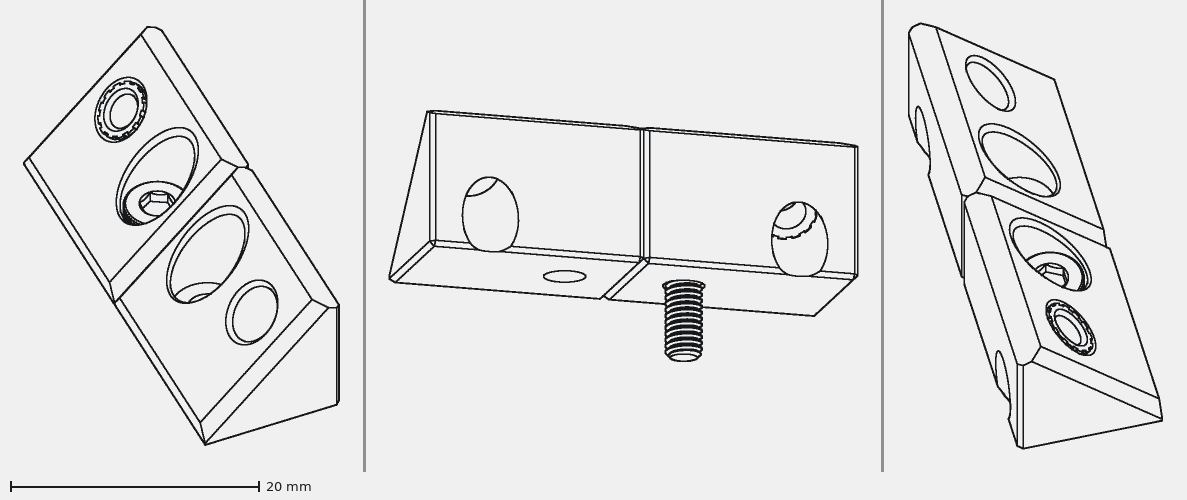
import cadquery as cq
import math

block_width = 18.0
block_depth = 12.0
toe_height = 2.0
apex_cut = 3.0
slope_side_chamfer = 1.0
edge_chamfer = 0.4

front_y = -block_depth / 2
back_y = block_depth / 2
corner_height = toe_height + block_depth
apex_drop = apex_cut * math.sin(math.radians(45))
apex_y = back_y - apex_drop
apex_z = corner_height - apex_drop

counterbore_diameter = 6.0
counterbore_floor = toe_height
clearance_diameter = 3.4
insert_hole_diameter = 4.7
screw_offset = 5.0
insert_side_distance = 5.0
insert_apex_distance = 5.0

insert_offset = block_width - insert_side_distance
insert_drop = insert_apex_distance * math.sin(math.radians(45))
insert_y = apex_y - insert_drop
insert_z = apex_z - insert_drop
cut_length = 2 * block_depth

head_diameter = 5.5
head_height = 3.0
head_chamfer = 0.18
head_groove_count = 60
head_groove_depth = 0.07
socket_width = 2.5
socket_depth = 1.0
socket_countersink = 2.9
shank_length = 8.03
thread_diameter = 3.0
thread_core = 2.35
thread_pitch = 0.5
thread_crest = 0.07
thread_flank_angle = math.radians(30)
thread_sink = 0.05
tip_chamfer = 0.4

insert_length = 3.3
insert_diameter = 4.85
knurl_root = 4.5
knurl_count = 13
knurl_notch_width = 0.45
insert_bore = 2.9
insert_bore_chamfer = 0.35


SLOPE = ">(0, -1, 1)"


def slope_plane(x):
    """Plane on the sloping face at an insert position, with its normal pointing out."""
    return cq.Plane(origin=(x, insert_y, insert_z), xDir=(1, 0, 0), normal=(0, -1, 1))


def make_wedge(center_x):
    """Wedge with its side, bottom and back edges chamfered, before drilling."""
    wedge = (
        cq.Workplane("YZ")
        .polyline([
            (front_y, 0),
            (back_y, 0),
            (back_y, corner_height - apex_cut),
            (apex_y, apex_z),
            (front_y, toe_height),
        ])
        .close()
        .extrude(block_width / 2, both=True)
    )
    wedge = wedge.faces(SLOPE).edges("#X").chamfer(slope_side_chamfer)
    wedge = wedge.faces("<Z or >Y").edges("<Z or |Z").chamfer(edge_chamfer)
    return wedge.translate((center_x, 0, 0))


def make_block(side):
    """Drilled block; side is -1 for the left block and +1 for its mirror image."""
    block = make_wedge(side * block_width / 2)
    screw_x = side * screw_offset
    insert_plane = slope_plane(side * insert_offset)

    counterbore = (
        cq.Workplane("XY", origin=(screw_x, 0, counterbore_floor))
        .circle(counterbore_diameter / 2)
        .extrude(cut_length)
    )
    insert_hole = (
        cq.Workplane(insert_plane)
        .circle(insert_hole_diameter / 2)
        .extrude(cut_length, both=True)
    )
    block = block.cut(counterbore).cut(insert_hole)

    block = block.faces(SLOPE).edges("not %LINE").chamfer(edge_chamfer)

    clearance = (
        cq.Workplane("XY", origin=(screw_x, 0, 0))
        .circle(clearance_diameter / 2)
        .extrude(counterbore_floor)
    )
    return block.cut(clearance)


def make_thread():
    """Right-hand helical ridge around the shank core, longer than the shank at both ends."""
    inner_radius = thread_core / 2 - thread_sink
    outer_radius = thread_diameter / 2
    crest_half = thread_crest / 2
    base_half = crest_half + (outer_radius - inner_radius) * math.tan(thread_flank_angle)
    helix = cq.Wire.makeHelix(thread_pitch, shank_length + 2 * thread_pitch, inner_radius)
    ridge = (
        cq.Workplane("XZ")
        .polyline([
            (inner_radius, -base_half),
            (outer_radius, -crest_half),
            (outer_radius, crest_half),
            (inner_radius, base_half),
        ])
        .close()
        .sweep(cq.Workplane(obj=helix), isFrenet=True)
    )
    return ridge.translate((0, 0, -shank_length - thread_pitch))


def make_head_knurl():
    """Column with V grooves all round that gives the head its grip."""
    outline = []
    for index in range(2 * head_groove_count):
        angle = math.pi * index / head_groove_count
        radius = head_diameter / 2 - (index % 2) * head_groove_depth
        outline.append((radius * math.cos(angle), radius * math.sin(angle)))
    return cq.Workplane("XY").polyline(outline).close().extrude(head_height)


def make_screw():
    """Screw with the underside of its head at Z = 0 and its tip pointing down."""
    head = cq.Workplane("XY").circle(head_diameter / 2).extrude(head_height)
    head = head.faces(">Z").edges().chamfer(head_chamfer)
    head = head.intersect(make_head_knurl())

    socket_corner_diameter = socket_width / math.cos(math.radians(30))
    top = cq.Workplane("XY", origin=(0, 0, head_height))
    socket = top.polygon(6, socket_corner_diameter).extrude(-socket_depth)
    countersink_depth = (socket_countersink - socket_width) / 2
    countersink = top.circle(socket_countersink / 2).extrude(-countersink_depth, taper=45)
    head = head.cut(socket).cut(countersink)

    core = (
        cq.Workplane("XY", origin=(0, 0, 2 * thread_pitch))
        .circle(thread_core / 2)
        .extrude(-shank_length - 4 * thread_pitch)
    )
    tip_radius = thread_diameter / 2 - tip_chamfer
    envelope = cq.Workplane("XY").circle(thread_diameter).extrude(-shank_length)
    envelope = envelope.faces("<Z").edges().chamfer(thread_diameter - tip_radius)
    shank = core.union(make_thread()).intersect(envelope)
    return head.union(shank)


def make_insert(plane):
    """Threaded insert flush with the given plane and sunk below it."""
    insert = (
        cq.Workplane(plane)
        .circle(insert_diameter / 2)
        .circle(insert_bore / 2)
        .extrude(-insert_length)
    )
    notch_depth = insert_diameter - knurl_root
    for index in range(knurl_count):
        notch = (
            cq.Workplane(plane)
            .transformed(rotate=(0, 0, index * 360 / knurl_count))
            .center(0, (knurl_root + notch_depth) / 2)
            .rect(knurl_notch_width, notch_depth)
            .extrude(-insert_length)
        )
        insert = insert.cut(notch)
    bore_mouth = (
        cq.Workplane(plane)
        .circle(insert_bore / 2 + insert_bore_chamfer)
        .extrude(-insert_bore_chamfer, taper=45)
    )
    return insert.cut(bore_mouth)


insert = make_insert(slope_plane(-insert_offset))
blocks = [make_block(side).cut(insert) for side in (-1, 1)]
screw = make_screw().translate((-screw_offset, 0, counterbore_floor))

result = cq.Compound.makeCompound([
    *[block.val() for block in blocks],
    screw.val(),
    insert.val(),
])